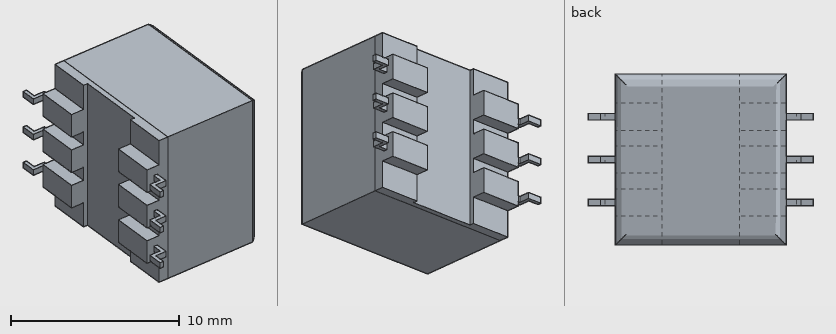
import cadquery as cq
import math


body_size = 10.15
total_height = 8.65

block_bottom = 0.25
rail_bottom = 1.15
channel_floor = 1.44
base_top = 1.8
case_top = 8.12

channel_width = 4.57
block_height = 1.62

cap_edge_radius = 0.83

overall_width = 13.36
terminal_pitch = 2.54
terminal_width = 0.4
terminal_thickness = 0.25
terminal_shoulder = 1.02
foot_length = 1.0

terminal_levels = [-terminal_pitch, 0.0, terminal_pitch]
sides = [-1, 1]


def box_between(x_range, y_range, z_range):
    """Box that fills the given ranges along X, Y and Z."""
    lengths = [high - low for low, high in (x_range, y_range, z_range)]
    corner = (x_range[0], y_range[0], z_range[0])
    return cq.Workplane("XY").box(*lengths, centered=False).translate(corner)


def square_slab(bottom, top):
    """Full-size square slab of the housing between two Y levels."""
    half = body_size / 2
    return box_between((-half, half), (bottom, top), (-half, half))


def make_cap():
    """Cover plate whose four edges are arcs that meet the top tangentially and the sides at a blunt angle."""
    half = body_size / 2
    arc_center_y = total_height - cap_edge_radius
    start_angle = math.asin((case_top - arc_center_y) / cap_edge_radius)
    middle_angle = (start_angle + math.pi / 2) / 2
    arc_center_x = half - cap_edge_radius * math.cos(start_angle)
    middle_x = arc_center_x + cap_edge_radius * math.cos(middle_angle)
    middle_y = arc_center_y + cap_edge_radius * math.sin(middle_angle)

    ridge = (
        cq.Workplane("XY")
        .moveTo(-half, case_top)
        .lineTo(half, case_top)
        .threePointArc((middle_x, middle_y), (arc_center_x, total_height))
        .lineTo(-arc_center_x, total_height)
        .threePointArc((-middle_x, middle_y), (-half, case_top))
        .close()
        .extrude(half, both=True)
    )
    return ridge.intersect(ridge.rotate((0, 0, 0), (0, 1, 0), 90))


def make_base():
    """Base plate with a channel between two rails and three terminal blocks on each rail."""
    base = square_slab(rail_bottom, base_top)
    half = body_size / 2
    inner = channel_width / 2
    base = base.cut(box_between((-inner, inner), (rail_bottom, channel_floor), (-half, half)))
    for side in sides:
        for level in terminal_levels:
            x_range = sorted((side * inner, side * half))
            z_range = (level - block_height / 2, level + block_height / 2)
            base = base.union(box_between(x_range, (block_bottom, rail_bottom), z_range))
    return base


def make_terminal(side, level):
    """Z-bent terminal: arm from the block, riser down to the mounting plane, foot outward."""
    root = body_size / 2
    tip = overall_width / 2
    riser_inner = tip - foot_length
    riser_outer = riser_inner + terminal_thickness
    outline = [
        (root, terminal_shoulder),
        (riser_outer, terminal_shoulder),
        (riser_outer, terminal_thickness),
        (tip, terminal_thickness),
        (tip, 0),
        (riser_inner, 0),
        (riser_inner, terminal_shoulder - terminal_thickness),
        (root, terminal_shoulder - terminal_thickness),
    ]
    points = [(side * x, y) for x, y in outline]
    middle_plane = cq.Workplane("XY", origin=(0, 0, level))
    return middle_plane.polyline(points).close().extrude(terminal_width / 2, both=True)


case = square_slab(base_top, case_top)
cap = make_cap()
base = make_base()
terminals = [make_terminal(side, level) for side in sides for level in terminal_levels]

result = cq.Compound.makeCompound(
    [case.val(), cap.val(), base.val()] + [terminal.val() for terminal in terminals]
)